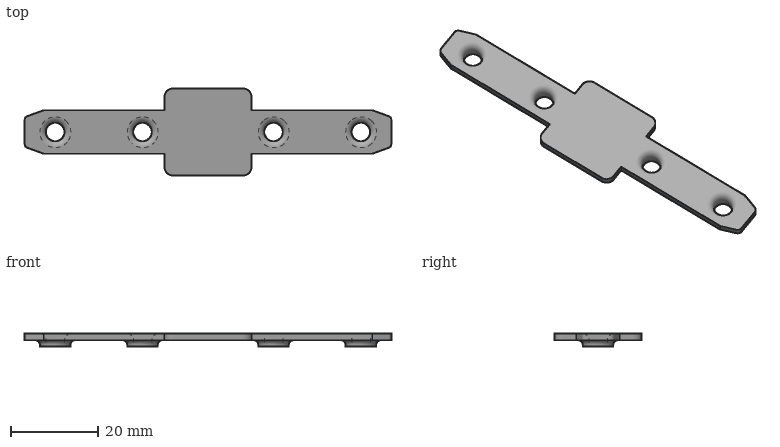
import cadquery as cq

length = 84.0
pad_side = 20.0
arm_width = pad_side / 2
plate_thickness = 1.6
pad_corner_radius = 2.0

tip_length = 4.4
tip_end_width = 6.8
tip_corner_radius = 1.0

total_height = 3.0
hole_pitch = pad_side
inner_hole_x = 0.75 * hole_pitch
outer_hole_x = inner_hole_x + hole_pitch
hole_radius = 2.1
mouth_radius = 1.5
boss_radius = 3.5
boss_root_radius = 1.0


def make_plate():
    """Square central pad crossed by a long strip with tapered ends; top face at Z = 0."""
    pad = cq.Workplane("XY").box(pad_side, pad_side, plate_thickness, centered=(True, True, False))
    pad = pad.edges("|Z").fillet(pad_corner_radius)

    end_x = length / 2
    taper_x = end_x - tip_length
    side_y = arm_width / 2
    end_y = tip_end_width / 2
    strip = (
        cq.Workplane("XY")
        .polyline([
            (-end_x, -end_y), (-taper_x, -side_y), (taper_x, -side_y), (end_x, -end_y),
            (end_x, end_y), (taper_x, side_y), (-taper_x, side_y), (-end_x, end_y),
        ])
        .close()
        .extrude(plate_thickness)
    )
    strip = strip.edges("|Z and (<X or >X)").fillet(tip_corner_radius)
    return pad.union(strip).translate((0, 0, -plate_thickness))


def revolve_about_z(profile):
    """Turn a closed radius-height profile around the Z axis."""
    return profile.close().revolve(360, (0, 0, 0), (0, 1, 0))


def make_boss():
    """Collar below the plate, flaring into its underside with a concave round."""
    return revolve_about_z(
        cq.Workplane("XZ")
        .moveTo(0, -total_height)
        .lineTo(boss_radius, -total_height)
        .lineTo(boss_radius, -plate_thickness - boss_root_radius)
        .radiusArc((boss_radius + boss_root_radius, -plate_thickness), boss_root_radius)
        .lineTo(0, -plate_thickness)
    )


def make_hole():
    """Through hole whose upper mouth is rounded over into the top face."""
    return revolve_about_z(
        cq.Workplane("XZ")
        .lineTo(hole_radius + mouth_radius, 0)
        .radiusArc((hole_radius, -mouth_radius), -mouth_radius)
        .lineTo(hole_radius, -total_height)
        .lineTo(0, -total_height)
    )


result = make_plate()
for hole_x in (-outer_hole_x, -inner_hole_x, inner_hole_x, outer_hole_x):
    result = result.union(make_boss().translate((hole_x, 0, 0)))
    result = result.cut(make_hole().translate((hole_x, 0, 0)))